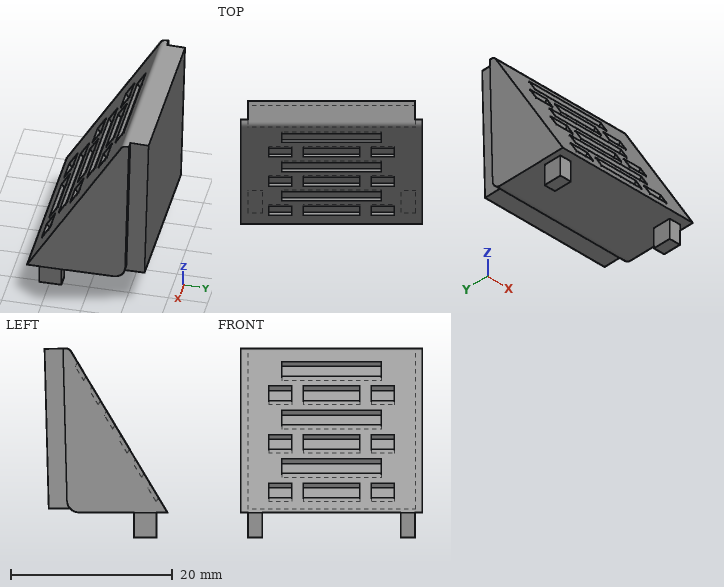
import cadquery as cq
import math

body_width = 22.5
total_depth = 15.24
face_angle = 59.1
rear_lean = 1.5
plate_top_height = 20.26

heel_fillet = 1.5
crest_fillet = 0.75

plate_thickness = 2.3
plate_side_inset = 0.9
plate_bottom_height = 0.5
plate_embed = 3.0

leg_width = 1.8
leg_depth = 2.8
leg_height = 3.1
leg_side_inset = 0.9
leg_front_offset = 1.37

row_count = 6
row_pitch = 3.5
first_row_offset = 2.16
slot_height = 2.1
slot_depth = 0.53
upper_wall_fall = 66.0
lower_wall_fall = 54.0
long_slot_width = 12.35
middle_slot_width = 6.95
end_slot_width = 2.85
end_slot_center = 6.35

slope_tan = math.tan(math.radians(face_angle))
lean_tan = math.tan(math.radians(rear_lean))
lean_cos = math.cos(math.radians(rear_lean))
lean_sin = math.sin(math.radians(rear_lean))

plate_width = body_width - 2 * plate_side_inset

body_rear_top_y = total_depth - plate_thickness * lean_cos
body_rear_top_z = plate_top_height + plate_thickness * lean_sin
body_rear_bottom_y = body_rear_top_y - body_rear_top_z * lean_tan

crest_y = (plate_top_height + total_depth * lean_tan) / (slope_tan + lean_tan)
crest_z = crest_y * slope_tan


def extrude_across(points, width, center_x=0.0):
    """Extrude a closed (y, z) outline along X, centred on center_x."""
    plane = cq.Workplane("YZ", origin=(center_x, 0, 0))
    return plane.polyline(points).close().extrude(width / 2, both=True)


def make_body():
    body = extrude_across(
        [
            (0, 0),
            (body_rear_bottom_y, 0),
            (body_rear_top_y, body_rear_top_z),
            (crest_y, crest_z),
        ],
        body_width,
    )
    rear_bottom_edge = cq.NearestToPointSelector((0, body_rear_bottom_y, 0))
    crest_edge = cq.NearestToPointSelector((0, crest_y, crest_z))
    body = body.edges("|X").edges(rear_bottom_edge).fillet(heel_fillet)
    return body.edges("|X").edges(crest_edge).fillet(crest_fillet)


def make_back_plate():
    rear_bottom_y = total_depth - (plate_top_height - plate_bottom_height) * lean_tan
    return extrude_across(
        [
            (total_depth, plate_top_height),
            (body_rear_top_y, body_rear_top_z),
            (rear_bottom_y - plate_thickness - plate_embed, plate_bottom_height),
            (rear_bottom_y, plate_bottom_height),
        ],
        plate_width,
    )


def make_leg(side):
    center_x = side * (body_width / 2 - leg_side_inset - leg_width / 2)
    leg = cq.Workplane("XY").center(center_x, leg_front_offset + leg_depth / 2)
    return leg.rect(leg_width, leg_depth).extrude(-leg_height)


def slot_wall(slope_distance, fall_angle):
    """Outer and inner (y, z) ends of a slot wall crossing the sloped face at slope_distance."""
    slope = math.radians(face_angle)
    fall = math.radians(fall_angle)
    wall_length = slot_depth / math.sin(slope + fall)
    step_y = wall_length * math.cos(fall)
    step_z = -wall_length * math.sin(fall)
    face_y = slope_distance * math.cos(slope)
    face_z = slope_distance * math.sin(slope)
    outer = (face_y - step_y, face_z - step_z)
    inner = (face_y + step_y, face_z + step_z)
    return outer, inner


def slot_cutter(row, center_x, width):
    """Pocket with a floor parallel to the sloped face; the cutter also clears the space in front."""
    lower_edge = first_row_offset + row * row_pitch
    lower_outer, lower_inner = slot_wall(lower_edge, lower_wall_fall)
    upper_outer, upper_inner = slot_wall(lower_edge + slot_height, upper_wall_fall)
    outline = [lower_outer, upper_outer, upper_inner, lower_inner]
    return extrude_across(outline, width, center_x)


def cut_slots(part):
    """Rows alternate, from the bottom, between three short slots and one long slot."""
    three_slots = [
        (-end_slot_center, end_slot_width),
        (0, middle_slot_width),
        (end_slot_center, end_slot_width),
    ]
    one_slot = [(0, long_slot_width)]
    for row in range(row_count):
        for center_x, width in (three_slots if row % 2 == 0 else one_slot):
            part = part.cut(slot_cutter(row, center_x, width))
    return part


part = make_body().union(make_back_plate())
for side in (-1, 1):
    part = part.union(make_leg(side))
result = cut_slots(part)